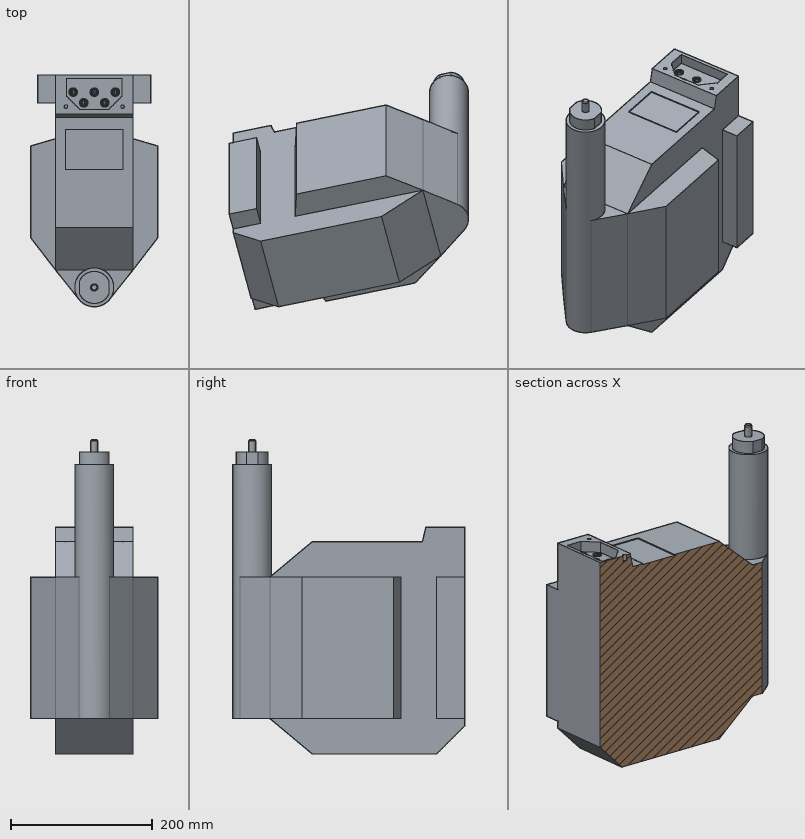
import cadquery as cq
import math


column_diameter = 55.0
column_radius = column_diameter / 2
column_top = 409.0
cap_diameter = 45.5
cap_flat_width = 42.0
cap_top = 426.5
pin_diameter = 10.0
pin_chamfer_width = 1.5
pin_chamfer_height = 1.8
total_height = 444.0

total_depth = 327.5
back_y = total_depth - column_radius
housing_width = 110.0
housing_half = housing_width / 2
housing_height = 300.0
console_height = 320.5
console_depth = 55.0
console_foot_depth = 60.0
front_slope_start_y = back_y - 215.5
front_slope_end_y = back_y - 275.5
back_chamfer = 40.0

wing_bottom = 50.0
wing_top = 250.0
wing_height = wing_top - wing_bottom
wing_span = 180.0
wing_root_y = back_y - 90.0
wing_back_y = back_y - 100.5
wing_front_y = back_y - 230.0
flange_span = 160.0
flange_depth = 40.0

window_width = 81.5
window_length = 56.5
window_center_y = back_y - 105.5
window_depth = 1.5

pocket_depth = 15.5
pocket_half_width = 39.5
pocket_front_half = 20.0
pocket_back_y = back_y - 5.5
pocket_corner_y = back_y - 29.7
pocket_front_y = back_y - 49.5
pocket_floor = console_height - pocket_depth

screw_hole_diameter = 5.0
screw_hole_depth = 9.0
screw_hole_spacing = 80.0
screw_hole_y = back_y - 45.0

collar_diameter = 12.0
collar_height = 1.0
plug_diameter = 10.0
plug_height = 2.0
plug_chamfer = 1.8
contact_diameter = 1.0
contact_depth = 1.0
contact_circle_radius = 1.8
contact_count = 4
contact_start_angle = 45
key_width = 1.5
key_reach = 6.0
connector_spacing = 29.7
back_row_y = back_y - 24.5
front_row_y = back_y - 39.5

connectors = [
    (-connector_spacing, back_row_y, 0),
    (0, back_row_y, -45),
    (connector_spacing, back_row_y, 180),
    (-connector_spacing / 2, front_row_y, 90),
    (connector_spacing / 2, front_row_y, 90),
]


def make_housing():
    """Side profile in Y-Z, extruded symmetrically across X."""
    profile = [
        (back_y, back_chamfer),
        (back_y, console_height),
        (back_y - console_depth, console_height),
        (back_y - console_foot_depth, housing_height),
        (front_slope_start_y, housing_height),
        (front_slope_end_y, wing_top),
        (front_slope_end_y, wing_bottom),
        (front_slope_start_y, 0),
        (back_y - back_chamfer, 0),
    ]
    return cq.Workplane("YZ").polyline(profile).close().extrude(housing_half, both=True)


def make_wings():
    """Plan outline whose front sides run tangent to the column; the column rounds off the nose."""
    corner_distance = math.hypot(housing_half, front_slope_end_y)
    corner_angle = math.atan2(front_slope_end_y, housing_half)
    tangent_angle = corner_angle - math.acos(column_radius / corner_distance)
    tangent_x = column_radius * math.cos(tangent_angle)
    tangent_y = column_radius * math.sin(tangent_angle)
    right_side = [
        (tangent_x, tangent_y),
        (housing_half, front_slope_end_y),
        (wing_span / 2, wing_front_y),
        (wing_span / 2, wing_back_y),
        (housing_half, wing_root_y),
    ]
    left_side = [(-x, y) for x, y in reversed(right_side)]
    outline = cq.Workplane("XY").workplane(offset=wing_bottom).polyline(right_side + left_side)
    return outline.close().extrude(wing_height)


def make_flanges():
    return cq.Workplane("XY").box(flange_span, flange_depth, wing_height).translate(
        (0, back_y - flange_depth / 2, wing_bottom + wing_height / 2)
    )


def make_cylinder(diameter, bottom, top):
    return cq.Workplane("XY").workplane(offset=bottom).circle(diameter / 2).extrude(top - bottom)


def make_column():
    """Column with a cap flattened on both X sides and a chamfered end pin."""
    column = make_cylinder(column_diameter, wing_bottom, column_top)
    cap_blank = make_cylinder(cap_diameter, column_top, cap_top)
    cap = cap_blank.intersect(cq.Workplane("XY").box(cap_flat_width, cap_diameter, 2 * total_height))
    pin = make_cylinder(pin_diameter, cap_top, total_height)
    pin = pin.faces(">Z").chamfer(pin_chamfer_height, pin_chamfer_width)
    return column.union(cap).union(pin)


def make_window():
    return cq.Workplane("XY").box(window_width, window_length, 2 * window_depth).translate(
        (0, window_center_y, housing_height)
    )


def make_pocket():
    outline = [
        (-pocket_half_width, pocket_back_y),
        (pocket_half_width, pocket_back_y),
        (pocket_half_width, pocket_corner_y),
        (pocket_front_half, pocket_front_y),
        (-pocket_front_half, pocket_front_y),
        (-pocket_half_width, pocket_corner_y),
    ]
    return cq.Workplane("XY").workplane(offset=pocket_floor).polyline(outline).close().extrude(pocket_depth)


def make_screw_holes():
    hole_places = [(side * screw_hole_spacing / 2, screw_hole_y) for side in (-1, 1)]
    top_plane = cq.Workplane("XY").workplane(offset=console_height)
    return top_plane.pushPoints(hole_places).circle(screw_hole_diameter / 2).extrude(-screw_hole_depth)


def make_connector(x, y, key_angle):
    """Keyed collar and chamfered plug with a ring of contact holes."""
    collar = make_cylinder(collar_diameter, 0, collar_height)
    key = cq.Workplane("XY").box(key_reach, key_width, collar_height, centered=(False, True, False))
    plug = make_cylinder(plug_diameter, 0, plug_height).faces(">Z").chamfer(plug_chamfer)
    contacts = (
        cq.Workplane("XY")
        .workplane(offset=plug_height)
        .polarArray(contact_circle_radius, contact_start_angle, 360, contact_count)
        .circle(contact_diameter / 2)
        .extrude(-contact_depth)
    )
    connector = collar.union(key).union(plug).cut(contacts)
    return connector.rotate((0, 0, 0), (0, 0, 1), key_angle).translate((x, y, pocket_floor))


result = make_housing().union(make_wings()).union(make_flanges()).union(make_column())
result = result.cut(make_window()).cut(make_pocket()).cut(make_screw_holes())
for x, y, key_angle in connectors:
    result = result.union(make_connector(x, y, key_angle))